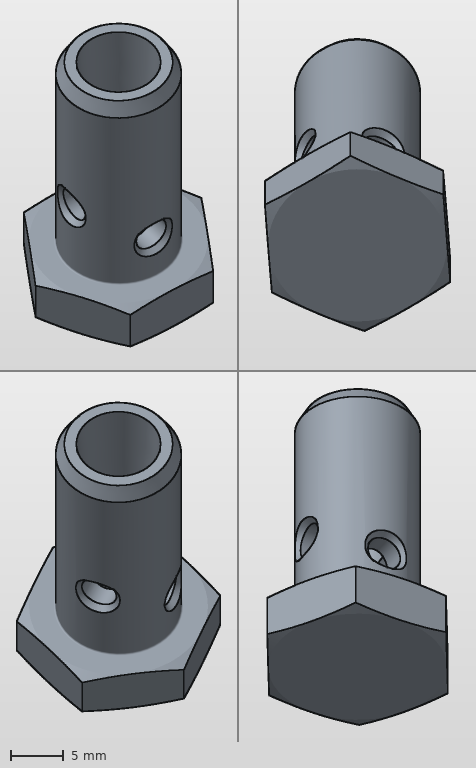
import cadquery as cq
import math

total_height = 29.0
across_flats = 17.0
head_height = 5.0
across_corners = across_flats / math.cos(math.radians(30))

head_chamfer_angle = 15.0
corner_drop = (across_corners - across_flats) / 2 * math.tan(math.radians(head_chamfer_angle))

shank_diameter = 11.95
tip_diameter = 10.3
tip_chamfer_height = 1.5
neck_fillet = 0.17

bore_mouth_diameter = 8.0
bore_diameter = 6.5
bore_taper_end_z = 17.4
bore_end_z = 7.55
drill_point_angle = 118.0

cross_hole_diameter = 3.5
flare_depth = 0.75
flare_rise = 0.38
flare_spread = 1.15
hole_along_y_z = 13.0
hole_along_x_z = 10.0


def revolve_profile(points):
    """Revolve a closed (radius, z) outline about the Z axis."""
    return cq.Workplane("XZ").polyline(points).close().revolve(360, (0, 0), (0, 1))


def make_head():
    """Hexagon head with its corners turned off at both ends."""
    hexagon = cq.Workplane("XY").polygon(6, across_corners).extrude(head_height)
    hexagon = hexagon.rotate((0, 0, 0), (0, 0, 1), 30)
    flat_radius = across_flats / 2
    corner_radius = across_corners / 2
    envelope = revolve_profile([
        (0, 0),
        (flat_radius, 0),
        (corner_radius, corner_drop),
        (corner_radius, head_height - corner_drop),
        (flat_radius, head_height),
        (0, head_height),
    ])
    return hexagon.intersect(envelope)


def make_shank():
    """Solid shank with a chamfered tip and a filleted foot on the head."""
    shank_radius = shank_diameter / 2
    return (
        cq.Workplane("XZ")
        .lineTo(shank_radius + neck_fillet, 0)
        .lineTo(shank_radius + neck_fillet, head_height)
        .radiusArc((shank_radius, head_height + neck_fillet), neck_fillet)
        .lineTo(shank_radius, total_height - tip_chamfer_height)
        .lineTo(tip_diameter / 2, total_height)
        .lineTo(0, total_height)
        .close()
        .revolve(360, (0, 0), (0, 1))
    )


def make_bore():
    """Cutter for the blind bore."""
    bore_radius = bore_diameter / 2
    point_depth = bore_radius / math.tan(math.radians(drill_point_angle / 2))
    return revolve_profile([
        (0, bore_end_z - point_depth),
        (bore_radius, bore_end_z),
        (bore_radius, bore_taper_end_z),
        (bore_mouth_diameter / 2, total_height),
        (0, total_height),
    ])


def make_cross_hole(plane, height):
    """Cutter for a hole through both walls whose two mouths flare out, wider than tall."""
    hole_radius = cross_hole_diameter / 2
    flare_start = shank_diameter / 2 - flare_depth
    overshoot = 2
    centre = cq.Workplane(plane).center(0, height)
    cutter = centre.circle(hole_radius).extrude(shank_diameter, both=True)
    for side in (-1, 1):
        flare = (
            centre.workplane(offset=side * flare_start)
            .ellipse(hole_radius, hole_radius)
            .workplane(offset=side * overshoot * flare_depth)
            .ellipse(hole_radius + overshoot * flare_spread, hole_radius + overshoot * flare_rise)
            .loft(ruled=True)
        )
        cutter = cutter.union(flare)
    return cutter


result = make_head().union(make_shank())
result = result.cut(make_cross_hole("XZ", hole_along_y_z))
result = result.cut(make_cross_hole("YZ", hole_along_x_z))
result = result.cut(make_bore())